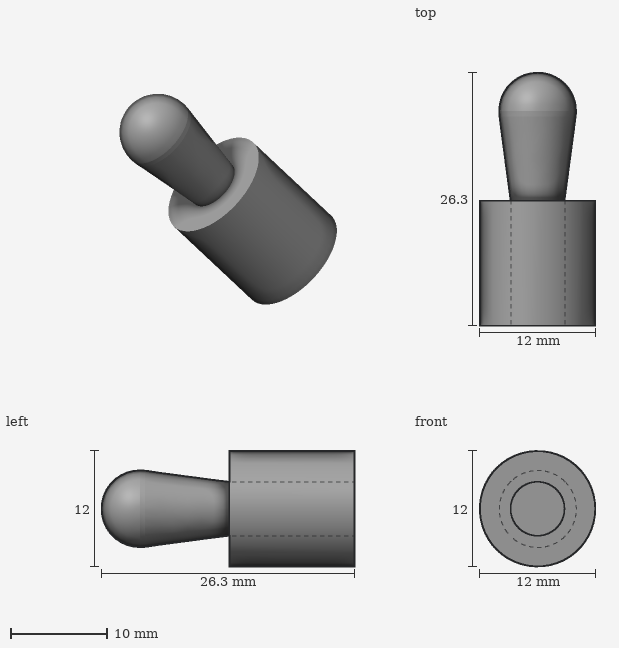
import cadquery as cq
import math

sleeve_diameter = 12.0
sleeve_length = 13.0

shank_diameter = 5.6
ball_diameter = 8.0
pin_length = 26.27

sleeve_radius = sleeve_diameter / 2
shank_radius = shank_diameter / 2
ball_radius = ball_diameter / 2
ball_center = pin_length - ball_radius

stem_reach = ball_center - sleeve_length
mouth_to_center = math.hypot(shank_radius, stem_reach)
flare_angle = math.atan2(stem_reach, shank_radius) - math.acos(ball_radius / mouth_to_center)


def ball_point(angle):
    """Point on the ball outline, with the angle measured from the equator towards the tip."""
    return (ball_radius * math.cos(angle), ball_center + ball_radius * math.sin(angle))


def make_sleeve():
    """Tube from Y = 0 whose bore fits the pin shank."""
    outline = cq.Workplane("XZ").circle(sleeve_radius).circle(shank_radius)
    return outline.extrude(-sleeve_length)


def make_pin():
    """Half profile revolved about the Y axis; the two ball faces stay split at the equator."""
    profile = (
        cq.Workplane("XY")
        .lineTo(shank_radius, 0)
        .lineTo(shank_radius, sleeve_length)
        .lineTo(*ball_point(-flare_angle))
        .threePointArc(ball_point(-flare_angle / 2), ball_point(0))
        .threePointArc(ball_point(math.pi / 4), (0, pin_length))
        .close()
    )
    return profile.revolve(360, (0, 0), (0, 1), clean=False)


sleeve = make_sleeve()
pin = make_pin()

result = cq.Compound.makeCompound([sleeve.val(), pin.val()])